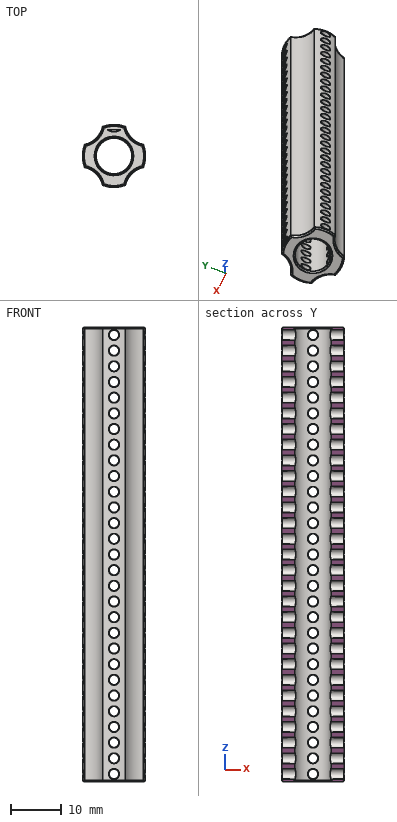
import cadquery as cq
import math

length = 90.6

outer_radius = 6.25
lobe_half_width = 2.3
neck_radius = 5.0
bore_diameter = 7.2
edge_chamfer = 0.32

hole_diameter = 2.0
hole_count = 29
hole_pitch = length / hole_count

mark_width = 2.5
mark_outer_y = 5.3
mark_inner_y = 4.8
mark_depth = 0.2


def polar(radius, degrees):
    angle = math.radians(degrees)
    return (radius * math.cos(angle), radius * math.sin(angle))


def lobed_outline():
    """Four rounded lobes on the X and Y axes, joined by concave flutes."""
    half_angle = math.degrees(math.asin(lobe_half_width / outer_radius))
    outline = cq.Workplane("XY").moveTo(*polar(outer_radius, -half_angle))
    for lobe_angle in (0, 90, 180, 270):
        crown = polar(outer_radius, lobe_angle)
        lobe_end = polar(outer_radius, lobe_angle + half_angle)
        flute_floor = polar(neck_radius, lobe_angle + 45)
        next_lobe = polar(outer_radius, lobe_angle + 90 - half_angle)
        outline = outline.threePointArc(crown, lobe_end).threePointArc(flute_floor, next_lobe)
    return outline.close()


def cross_holes(plane):
    """One row of evenly spaced holes, each passing through both walls."""
    centers = [(0, hole_pitch * (i + 0.5)) for i in range(hole_count)]
    row = cq.Workplane(plane).pushPoints(centers).circle(hole_diameter / 2)
    return row.extrude(2 * outer_radius, both=True)


def alignment_mark():
    """Shallow recess with a straight outer side and a side bowed toward the bore."""
    top_face = cq.Workplane("XY").workplane(offset=length)
    outline = top_face.moveTo(-mark_width / 2, mark_outer_y).lineTo(mark_width / 2, mark_outer_y)
    outline = outline.threePointArc((0, mark_inner_y), (-mark_width / 2, mark_outer_y)).close()
    return outline.extrude(-mark_depth)


bore = cq.Workplane("XY").circle(bore_diameter / 2).extrude(length)
tube = lobed_outline().extrude(length).cut(bore)
tube = tube.faces("<Z or >Z").edges().chamfer(edge_chamfer)
tube = tube.cut(cross_holes("XZ")).cut(cross_holes("YZ"))

result = tube.cut(alignment_mark())